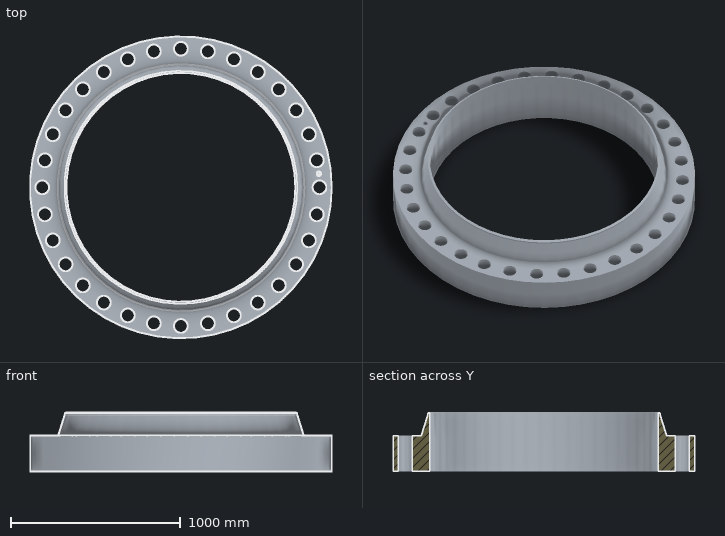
import cadquery as cq
import math

FLANGE_DIAMETER = 1778.0
FLANGE_THICKNESS = 212.0
OVERALL_HEIGHT = 349.25
BORE_DIAMETER = 1346.0

HUB_BASE_DIAMETER = 1448.0
HUB_TOP_DIAMETER = 1371.6
HUB_ROOT_FILLET = 6.0

BEVEL_ANGLE = 30.0
STRAIGHT_RIM_HEIGHT = 9.0
ROOT_LAND = 1.6

BOLT_COUNT = 32
BOLT_CIRCLE_DIAMETER = 1632.0
BOLT_HOLE_DIAMETER = 79.4

SMALL_HOLE_DIAMETER = 27.0
SMALL_HOLE_DEPTH = 20.0
PILOT_DIAMETER = 13.0
PILOT_DEPTH = 40.0
SMALL_HOLE_ANGLE = 0.5 * 360.0 / BOLT_COUNT


def point_on_bolt_circle(angle):
    radius = BOLT_CIRCLE_DIAMETER / 2
    radians = math.radians(angle)
    return (radius * math.cos(radians), radius * math.sin(radians))


def make_body():
    """Revolve the flange section, then round the root of the hub."""
    bore_radius = BORE_DIAMETER / 2
    flange_radius = FLANGE_DIAMETER / 2
    land_radius = bore_radius + ROOT_LAND
    hub_top_radius = HUB_TOP_DIAMETER / 2
    bevel_height = (hub_top_radius - land_radius) * math.tan(math.radians(BEVEL_ANGLE))
    rim_top = OVERALL_HEIGHT - bevel_height
    section = (
        cq.Workplane("XZ")
        .moveTo(bore_radius, 0)
        .lineTo(flange_radius, 0)
        .lineTo(flange_radius, FLANGE_THICKNESS)
        .lineTo(HUB_BASE_DIAMETER / 2, FLANGE_THICKNESS)
        .lineTo(hub_top_radius, rim_top - STRAIGHT_RIM_HEIGHT)
        .lineTo(hub_top_radius, rim_top)
        .lineTo(land_radius, OVERALL_HEIGHT)
        .lineTo(bore_radius, OVERALL_HEIGHT)
        .close()
    )
    body = section.revolve(360, (0, 0, 0), (0, 1, 0))
    hub_root = cq.selectors.RadiusNthSelector(-2)
    return body.edges("%CIRCLE").edges(hub_root).fillet(HUB_ROOT_FILLET)


def make_bolt_holes():
    points = [point_on_bolt_circle(i * 360.0 / BOLT_COUNT) for i in range(BOLT_COUNT)]
    return cq.Workplane("XY").pushPoints(points).circle(BOLT_HOLE_DIAMETER / 2).extrude(FLANGE_THICKNESS)


def make_small_hole():
    """Two coaxial cylinders sunk from the top of the flange ring."""
    centre = point_on_bolt_circle(SMALL_HOLE_ANGLE)
    ring_top = cq.Workplane("XY").workplane(offset=FLANGE_THICKNESS).center(*centre)
    entry = ring_top.circle(SMALL_HOLE_DIAMETER / 2).extrude(-SMALL_HOLE_DEPTH)
    pilot = ring_top.circle(PILOT_DIAMETER / 2).extrude(-PILOT_DEPTH)
    return entry.union(pilot)


result = make_body().cut(make_bolt_holes()).cut(make_small_hole())